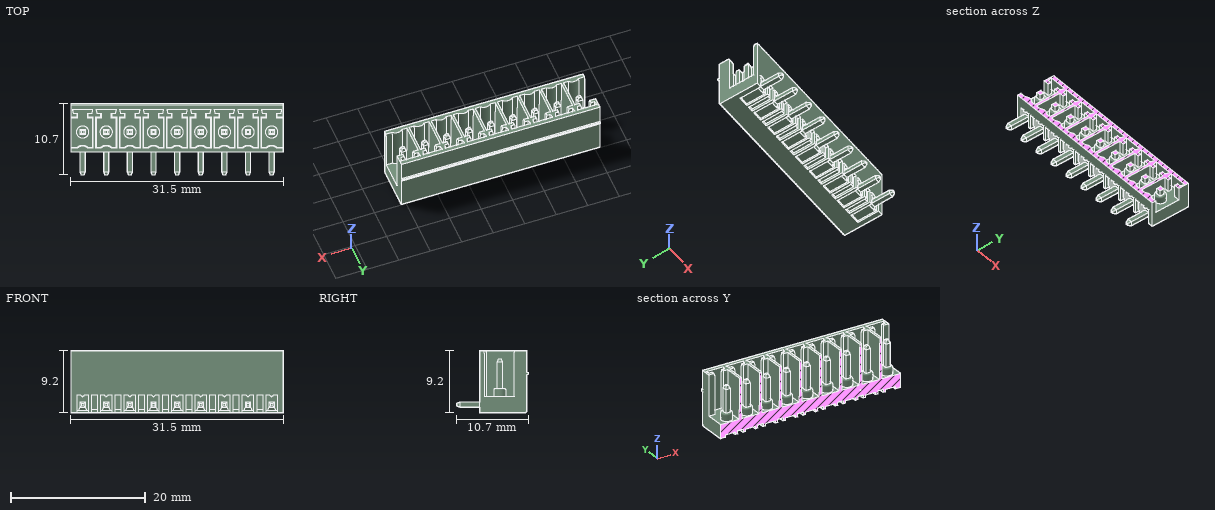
import cadquery as cq

POLES = 9
PITCH = 3.5
LENGTH = POLES * PITCH
DEPTH = 7.0
HEIGHT = 9.2
FLOOR_Z = 2.4
REAR_EDGE_CHAMFER = 0.18
OVERLAP = 0.5

FRONT_WALL = 0.7
PARTITION_ROOT = 0.56
PARTITION_TOP = 0.36
NECK_HALF = 0.73
NECK_FRONT_Y = DEPTH - 1.9
NECK_REAR_Y = DEPTH - 1.3
SLOT_REAR_Y = DEPTH - 0.67
SLOT_FRONT_HALF = 1.35
SLOT_REAR_HALF = 1.5
BUMP_HALF = 0.8
BUMP_RISE = 0.33
LEAD_IN_HEIGHT = 0.4
LEAD_IN_WIDTH = 0.1

PIN = 0.8
PIN_TIP = 0.4
PIN_TIP_LENGTH = 0.5
PIN_Y = 3.0
PIN_TOP_Z = 8.0
TAIL_Z = 1.2
TAIL_REACH = 3.4
COLLAR_DIAMETER = 1.8
COLLAR_TOP_Z = 3.6
COLLAR_FILLET = 0.25

RECESS_HEIGHT = 2.65
TAIL_RECESS_WIDTH = 1.7
TAIL_RECESS_DEPTH = 0.4
TAIL_GROOVE_HEIGHT = 0.37
GAP_RECESS_WIDTH = 0.9
GAP_RECESS_DEPTH = 0.5
GAP_GROOVE_HEIGHT = 0.48
GROOVE_END_Y = PIN_Y + PIN
RIDGE_WIDTH = 0.7
RIDGE_DROP = 0.3
RAMP_BOTTOM_WIDTH = 1.2
RAMP_DEPTH = 0.25

RIB_REACH = 0.25
RIB_TOP_Z = 6.0
RIB_TIP_HEIGHT = 0.25
RIB_ROOT_HEIGHT = 0.4

pole_xs = [PITCH * (i + 0.5) for i in range(POLES)]


def block(x0, x1, y0, y1, z0, z1):
    """Box given by its limits on each axis."""
    return cq.Workplane("XY").box(x1 - x0, y1 - y0, z1 - z0, centered=False).translate((x0, y0, z0))


def make_body():
    """Plain housing block with its lower rear edge broken and the snap rib added."""
    body = block(0, LENGTH, 0, DEPTH, 0, HEIGHT)
    body = body.faces(">Y").edges("<Z").chamfer(REAR_EDGE_CHAMFER)
    rib = (
        cq.Workplane("YZ")
        .moveTo(DEPTH, RIB_TOP_Z)
        .lineTo(DEPTH + RIB_REACH, RIB_TOP_Z)
        .lineTo(DEPTH + RIB_REACH, RIB_TOP_Z - RIB_TIP_HEIGHT)
        .lineTo(DEPTH, RIB_TOP_Z - RIB_ROOT_HEIGHT)
        .close()
        .extrude(LENGTH)
    )
    return body.union(rib)


def pocket_outline(workplane, widening):
    """Bay, guide bump and neck about x = 0; the bay is left wider than any pole needs."""
    bay_half = PITCH
    wall_y = FRONT_WALL - widening
    ledge_y = NECK_FRONT_Y + widening
    neck_half = NECK_HALF + widening
    return (
        workplane
        .moveTo(-bay_half, wall_y)
        .lineTo(-BUMP_HALF, wall_y)
        .threePointArc((0, wall_y + BUMP_RISE), (BUMP_HALF, wall_y))
        .lineTo(bay_half, wall_y)
        .lineTo(bay_half, ledge_y)
        .lineTo(neck_half, ledge_y)
        .lineTo(neck_half, NECK_REAR_Y)
        .lineTo(-neck_half, NECK_REAR_Y)
        .lineTo(-neck_half, ledge_y)
        .lineTo(-bay_half, ledge_y)
        .close()
    )


def make_passage():
    """Bay and neck volume from the floor up, opening out in a lead-in at the mouth."""
    mouth_z = HEIGHT - LEAD_IN_HEIGHT
    straight = pocket_outline(cq.Workplane("XY", origin=(0, 0, FLOOR_Z)), 0).extrude(mouth_z - FLOOR_Z)
    mouth = pocket_outline(cq.Workplane("XY", origin=(0, 0, mouth_z)), 0)
    mouth = pocket_outline(mouth.workplane(offset=LEAD_IN_HEIGHT), LEAD_IN_WIDTH)
    return straight.union(mouth.loft(ruled=True))


def make_rear_slot():
    """Slot behind the neck, flaring towards the rear wall."""
    return (
        cq.Workplane("XY", origin=(0, 0, FLOOR_Z))
        .moveTo(-SLOT_FRONT_HALF, NECK_REAR_Y)
        .lineTo(SLOT_FRONT_HALF, NECK_REAR_Y)
        .lineTo(SLOT_REAR_HALF, SLOT_REAR_Y)
        .lineTo(-SLOT_REAR_HALF, SLOT_REAR_Y)
        .close()
        .extrude(HEIGHT - FLOOR_Z)
    )


def make_side_limits(open_left, open_right):
    """Space between two partitions that thin upwards, or out past an open end face."""
    root_half = (PITCH - PARTITION_ROOT) / 2
    top_half = (PITCH - PARTITION_TOP) / 2
    open_half = PITCH / 2 + OVERLAP
    return (
        cq.Workplane("XZ")
        .moveTo(-open_half if open_left else -root_half, FLOOR_Z)
        .lineTo(open_half if open_right else root_half, FLOOR_Z)
        .lineTo(open_half if open_right else top_half, HEIGHT)
        .lineTo(-open_half if open_left else -top_half, HEIGHT)
        .close()
        .extrude(-DEPTH)
    )


def make_pocket(open_left=False, open_right=False):
    """Complete pocket cutter about x = 0."""
    passage = make_passage().intersect(make_side_limits(open_left, open_right))
    return passage.union(make_rear_slot())


def recess_cutter(x, width, depth, groove_height):
    """Front recess open at the underside, with a low groove running back from it."""
    left = x - width / 2
    right = x + width / 2
    recess = block(left, right, -OVERLAP, depth, -OVERLAP, RECESS_HEIGHT)
    groove = block(left, right, 0, GROOVE_END_Y, -OVERLAP, groove_height)
    return recess.union(groove)


def tail_recess_cutter(x):
    """Recess around a pin tail: V ridge left along its ceiling, ramp cut below the tail."""
    ridge = (
        cq.Workplane("XZ", origin=(x, 0, 0))
        .moveTo(-RIDGE_WIDTH / 2, RECESS_HEIGHT)
        .lineTo(0, RECESS_HEIGHT - RIDGE_DROP)
        .lineTo(RIDGE_WIDTH / 2, RECESS_HEIGHT)
        .close()
        .extrude(-TAIL_RECESS_DEPTH)
    )
    ramp_top_z = TAIL_Z - PIN / 2
    ramp = (
        cq.Workplane("YZ", origin=(x - RAMP_BOTTOM_WIDTH / 2, 0, 0))
        .moveTo(TAIL_RECESS_DEPTH, ramp_top_z)
        .lineTo(TAIL_RECESS_DEPTH + RAMP_DEPTH, TAIL_GROOVE_HEIGHT)
        .lineTo(TAIL_RECESS_DEPTH, TAIL_GROOVE_HEIGHT)
        .close()
        .extrude(RAMP_BOTTOM_WIDTH)
    )
    ramp_sides = (
        cq.Workplane("XZ", origin=(x, 0, 0))
        .moveTo(-RAMP_BOTTOM_WIDTH / 2, TAIL_GROOVE_HEIGHT)
        .lineTo(RAMP_BOTTOM_WIDTH / 2, TAIL_GROOVE_HEIGHT)
        .lineTo(PIN / 2, ramp_top_z)
        .lineTo(-PIN / 2, ramp_top_z)
        .close()
        .extrude(-DEPTH)
    )
    recess = recess_cutter(x, TAIL_RECESS_WIDTH, TAIL_RECESS_DEPTH, TAIL_GROOVE_HEIGHT)
    return recess.cut(ridge).union(ramp.intersect(ramp_sides))


def square_pin(length):
    """Square bar rising from the origin, drawn in to a blunt point at its upper end."""
    shank = length - PIN_TIP_LENGTH
    bar = cq.Workplane("XY").rect(PIN, PIN).extrude(shank)
    tip = (
        cq.Workplane("XY", origin=(0, 0, shank))
        .rect(PIN, PIN)
        .workplane(offset=PIN_TIP_LENGTH)
        .rect(PIN_TIP, PIN_TIP)
        .loft()
    )
    return bar.union(tip)


def make_contact(x):
    """Bent pin: contact standing in the pocket, collar at its foot, tail out of the front."""
    contact = square_pin(PIN_TOP_Z - TAIL_Z).translate((x, PIN_Y, TAIL_Z))
    tail = square_pin(PIN_Y + TAIL_REACH).rotate((0, 0, 0), (1, 0, 0), 90).translate((x, PIN_Y, TAIL_Z))
    collar = (
        cq.Workplane("XY", origin=(x, PIN_Y, FLOOR_Z))
        .circle(COLLAR_DIAMETER / 2)
        .extrude(COLLAR_TOP_Z - FLOOR_Z)
        .faces(">Z")
        .fillet(COLLAR_FILLET)
    )
    return contact.union(tail).union(collar)


result = make_body()
for pole, pole_x in enumerate(pole_xs):
    pocket = make_pocket(open_left=pole == 0, open_right=pole == POLES - 1)
    result = result.cut(pocket.translate((pole_x, 0, 0)))
    result = result.cut(tail_recess_cutter(pole_x))
for gap in range(1, POLES):
    result = result.cut(recess_cutter(gap * PITCH, GAP_RECESS_WIDTH, GAP_RECESS_DEPTH, GAP_GROOVE_HEIGHT))
for pole_x in pole_xs:
    result = result.union(make_contact(pole_x))